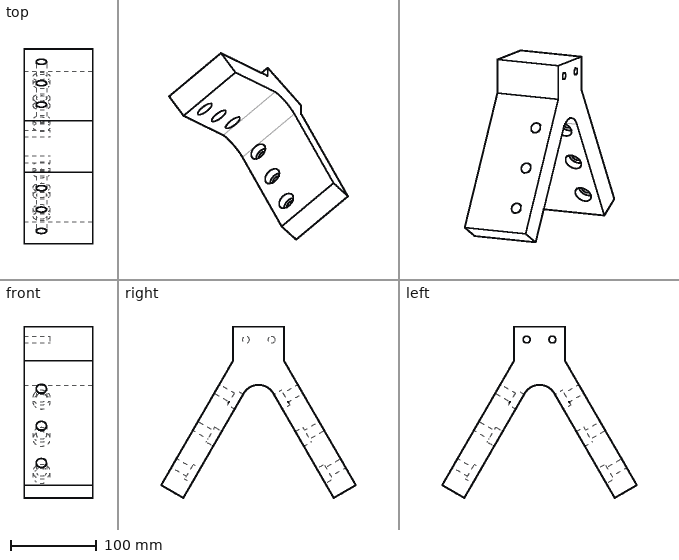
import cadquery as cq
import math

width = 80.0
height = 200.0
head_depth = 60.0
head_height = 40.0
leg_thickness = 30.0
leg_slope = math.radians(60.0)
crotch_radius = 20.0

leg_hole_diameter = 12.0
leg_counterbore_diameter = 20.0
leg_counterbore_depth = 10.0
leg_hole_count = 3
leg_hole_spacing = 50.0
leg_hole_end_distance = 30.0
leg_hole_side_distance = 20.0

head_hole_diameter = 8.0
head_hole_pitch = 30.0
head_hole_top_distance = 15.0
head_hole_depth = 30.0

shoulder_y = head_depth / 2
shoulder_z = height - head_height
foot_outer_z = leg_thickness * math.cos(leg_slope)
foot_outer_y = shoulder_y + (shoulder_z - foot_outer_z) / math.tan(leg_slope)
foot_inner_y = foot_outer_y - leg_thickness * math.sin(leg_slope)
apex_z = foot_inner_y * math.tan(leg_slope)
crotch_center_z = apex_z - crotch_radius / math.cos(leg_slope)
tangent_y = crotch_radius * math.sin(leg_slope)
tangent_z = crotch_center_z + crotch_radius * math.cos(leg_slope)


def make_body():
    """Upside-down Y profile extruded along X, centred on X = 0."""
    return (
        cq.Workplane("YZ", origin=(-width / 2, 0, 0))
        .moveTo(-shoulder_y, height)
        .lineTo(shoulder_y, height)
        .lineTo(shoulder_y, shoulder_z)
        .lineTo(foot_outer_y, foot_outer_z)
        .lineTo(foot_inner_y, 0)
        .lineTo(tangent_y, tangent_z)
        .threePointArc((0, crotch_center_z + crotch_radius), (-tangent_y, tangent_z))
        .lineTo(-foot_inner_y, 0)
        .lineTo(-foot_outer_y, foot_outer_z)
        .lineTo(-shoulder_y, shoulder_z)
        .close()
        .extrude(width)
    )


def make_leg_holes(side):
    """Stepped cutters square to one leg, counterbored from its inner face; side is +1 or -1 along Y."""
    inward = cq.Vector(0, -side * math.sin(leg_slope), -math.cos(leg_slope))
    hole_x = -width / 2 + leg_hole_side_distance
    cutters = cq.Workplane()
    for index in range(leg_hole_count):
        along = leg_hole_end_distance + index * leg_hole_spacing
        hole_y = side * (foot_outer_y - along * math.cos(leg_slope))
        hole_z = foot_outer_z + along * math.sin(leg_slope)
        outer_point = cq.Vector(hole_x, hole_y, hole_z)
        step_point = outer_point + inward * (leg_thickness - leg_counterbore_depth)
        bore = cq.Solid.makeCylinder(leg_hole_diameter / 2, leg_thickness, outer_point, inward)
        counterbore = cq.Solid.makeCylinder(
            leg_counterbore_diameter / 2, leg_counterbore_depth, step_point, inward
        )
        cutters = cutters.add(bore).add(counterbore)
    return cutters.combine()


def make_head_holes():
    """Two blind holes along X, entering the head from its -X side."""
    hole_z = height - head_hole_top_distance
    return (
        cq.Workplane("YZ", origin=(-width / 2, 0, 0))
        .pushPoints([(-head_hole_pitch / 2, hole_z), (head_hole_pitch / 2, hole_z)])
        .circle(head_hole_diameter / 2)
        .extrude(head_hole_depth)
    )


result = make_body().cut(make_head_holes())
for leg_side in (-1, 1):
    result = result.cut(make_leg_holes(leg_side))